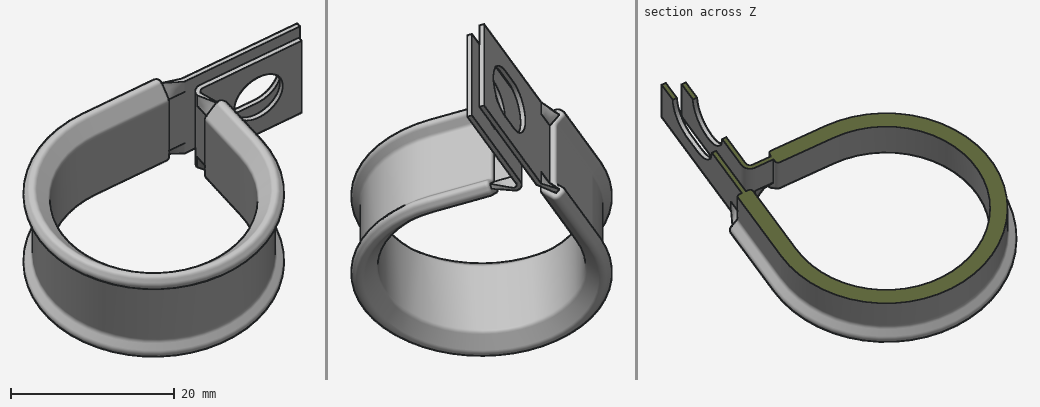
import cadquery as cq
import math


inner_radius = 12.72
band_radius = 14.9
bead_radius = 16.0
crest_radius = 14.92
cushion_width = 14.07
section_round = 0.76
end_round = 0.45
left_arm_length = 10.95
upper_arm_length = 8.13
loop_angle = 270.0

strip_thickness = 0.635
strip_width = 12.7
strip_outer_radius = 14.14
wing_hinge_height = 4.52
wing_angle = math.radians(45.0)
wing_length = 2.58
strip_embedding = 1.0
bend_inner_radius = 0.635

left_tab_end = 30.53
bent_tab_end = 29.35
hole_center_y = 23.0
hole_diameter = 7.1
slot_length = 9.5

strip_inner_radius = strip_outer_radius - strip_thickness
bend_outer_radius = bend_inner_radius + strip_thickness
wing_width = strip_width / 2 - wing_hinge_height


def make_section():
    """Closed cushion section; all sloping sides stand at 45 degrees."""
    corner_overshoot = section_round * (math.sqrt(2) - 1)
    bead_corner_radius = bead_radius + corner_overshoot
    crest_height = cushion_width / 2 + corner_overshoot
    bead_height = crest_height - (bead_corner_radius - crest_radius)
    band_height = bead_height - (bead_corner_radius - band_radius)
    inner_height = crest_height - (crest_radius - inner_radius)
    upper_half = [
        (band_radius, band_height),
        (bead_corner_radius, bead_height),
        (crest_radius, crest_height),
        (inner_radius, inner_height),
    ]
    lower_half = [(radius, -height) for radius, height in reversed(upper_half)]
    corners = upper_half + lower_half
    return cq.Sketch().polygon(corners + corners[:1]).vertices().fillet(section_round)


def to_left(body):
    """Move a body built along +Y at positive X to the left arm."""
    return body.mirror("YZ")


def to_upper(body):
    """Move a body built along +Y at positive X to the upper arm, along -X."""
    return body.rotate((0, 0, 0), (0, 0, 1), 90)


def make_loop(section):
    """Round stretch, from the upper arm clockwise to the left arm."""
    return cq.Workplane("YZ").placeSketch(section).revolve(loop_angle, (0, 1), (0, 0))


def make_arm(section, length):
    """Straight stretch along +Y with a rounded free end."""
    arm = cq.Workplane("XZ").placeSketch(section).extrude(-length)
    return arm.faces(">Y").edges().fillet(end_round)


def make_wing(arm_length):
    """Upper strip edge, folded outward at the arm and flat where the tab begins."""
    flat_tip = wing_hinge_height + wing_width
    flat = [
        (strip_outer_radius, wing_hinge_height),
        (strip_inner_radius, wing_hinge_height),
        (strip_inner_radius, flat_tip),
        (strip_outer_radius, flat_tip),
    ]
    outer_tip_radius = strip_outer_radius + wing_width * math.sin(wing_angle)
    outer_tip_height = wing_hinge_height + wing_width * math.cos(wing_angle)
    inner_tip_radius = outer_tip_radius - strip_thickness * math.cos(wing_angle)
    inner_tip_height = outer_tip_height + strip_thickness * math.sin(wing_angle)
    folded = flat[:2] + [
        (inner_tip_radius, inner_tip_height),
        (outer_tip_radius, outer_tip_height),
    ]
    arm_end = cq.Workplane("XZ", origin=(0, arm_length, 0))
    transition = (
        arm_end.polyline(folded).close()
        .workplane(offset=-wing_length)
        .polyline(flat).close()
        .loft(ruled=True)
    )
    embedded = arm_end.polyline(folded).close().extrude(strip_embedding)
    return transition.union(embedded)


def make_neck(arm_length):
    """Strip between arm end and tab, with both folded edges."""
    neck_length = wing_length + strip_embedding
    neck = cq.Workplane("XY").box(
        strip_thickness, neck_length, 2 * wing_hinge_height, centered=(False, False, True)
    ).translate((strip_inner_radius, arm_length - strip_embedding, 0))
    wing = make_wing(arm_length)
    return neck.union(wing).union(wing.mirror("XY"))


def make_left_tab():
    """Straight tab with the slotted hole."""
    tab_start = left_arm_length + wing_length
    tab = cq.Workplane("XY").box(
        strip_thickness, left_tab_end - tab_start, strip_width, centered=(False, False, True)
    ).translate((-strip_outer_radius, tab_start, 0))
    slot = (
        cq.Workplane("YZ", origin=(-strip_outer_radius, hole_center_y, 0))
        .slot2D(slot_length, hole_diameter)
        .extrude(strip_thickness)
    )
    return tab.cut(slot)


def make_bent_tab():
    """Tab turned up from the upper arm, with the round hole."""
    bend_x = -(upper_arm_length + wing_length)
    bend_y = strip_inner_radius + bend_outer_radius
    diagonal = math.cos(math.radians(45.0))
    outer_face_x = bend_x - bend_outer_radius
    inner_face_x = bend_x - bend_inner_radius
    tab = (
        cq.Workplane("XY", origin=(0, 0, -strip_width / 2))
        .moveTo(bend_x, strip_inner_radius)
        .threePointArc(
            (bend_x - bend_outer_radius * diagonal, bend_y - bend_outer_radius * diagonal),
            (outer_face_x, bend_y),
        )
        .lineTo(outer_face_x, bent_tab_end)
        .lineTo(inner_face_x, bent_tab_end)
        .lineTo(inner_face_x, bend_y)
        .threePointArc(
            (bend_x - bend_inner_radius * diagonal, bend_y - bend_inner_radius * diagonal),
            (bend_x, strip_outer_radius),
        )
        .close()
        .extrude(strip_width)
    )
    hole = (
        cq.Workplane("YZ", origin=(outer_face_x, hole_center_y, 0))
        .circle(hole_diameter / 2)
        .extrude(strip_thickness)
    )
    return tab.cut(hole)


section = make_section()
result = (
    make_loop(section)
    .union(to_left(make_arm(section, left_arm_length)))
    .union(to_upper(make_arm(section, upper_arm_length)))
    .union(to_left(make_neck(left_arm_length)))
    .union(to_upper(make_neck(upper_arm_length)))
    .union(make_left_tab())
    .union(make_bent_tab())
)